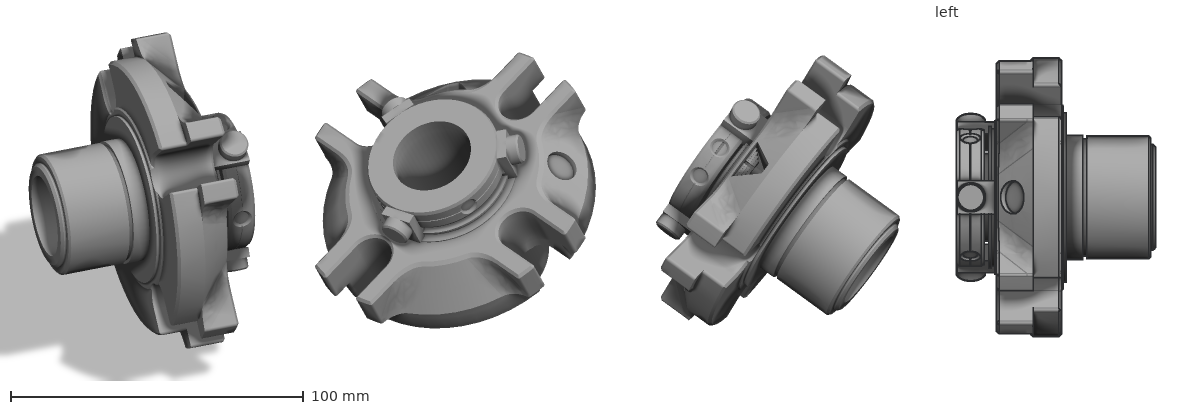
import cadquery as cq
import math


DISC_RADIUS = 47.6
DISC_BACK = 9.7
DISC_CHAMFER = 1.0
FACE_RING_RADIUS = 31.7
FACE_RING_FRONT = -0.6
FACE_RING_CHAMFER = 0.5
GASKET_RADIUS = 58.0 / 2
GASKET_FRONT = -1.6

HUB_BACK = 22.3
LUG_TIP_RADIUS = 53.8
LUG_HALF_WIDTH = 14.5
LUG_ROOT_FILLET = 7.1
HUB_BACK_CHAMFER = 1.0
HUB_OVERRUN = 5.7

SLOT_RADIUS = 7.4
SLOT_CENTRE = 37.5
SLOT_CHAMFER = 1.0
MOUTH_FILLET = 1.0
LUG_ANGLES = (45, 135, 225, 315)

BORE_RADIUS = 28.0 / 2
PILOT_RADIUS = 42.6 / 2
GROOVE_RADIUS = 40.2 / 2
SLEEVE_RADIUS = 42.0 / 2
NOSE_RADIUS = 36.2 / 2
NECK_RADIUS = 30.0 / 2
PILOT_FRONT = -7.2
GROOVE_FRONT = -8.7
SLEEVE_FRONT = -30.5
NOSE_FRONT = -32.2
SLEEVE_CHAMFER = 0.8
NOSE_CHAMFER = 1.0

BACK_PLATE_RADIUS = 26.3
BACK_PLATE_BACK = 22.8
GLAND_RADIUS = 47.0 / 2
GLAND_BACK = 24.1
LIP_RADIUS = 48.5 / 2
LIP_BACK = 25.0

COLLAR_RADIUS = 47.0 / 2
COLLAR_FRONT = 26.4
COLLAR_BACK = 36.0
COLLAR_CHAMFER_LENGTH = 1.1
COLLAR_CHAMFER_DEPTH = 0.6
COLLAR_MIDDLE = (COLLAR_FRONT + COLLAR_BACK) / 2
SEAM_WIDTH = 0.4
SEAM_DEPTH = 0.3

SET_SCREW_ANGLES = (0, 90, 120, 240)
SET_SCREW_RADIUS = 5.0 / 2
SET_SCREW_DEPTH = 1.0
SLOTTED_SCREW_ANGLE = 90
DRIVER_SLOT_WIDTH = 1.0
DRIVER_SLOT_DEPTH = 0.8

CLIP_ANGLES = (60, 180, 300)
CLIP_WIDTH = 11.4
CLIP_INNER = 23.1
CLIP_OUTER = 26.5
CLIP_BACK = 35.7
CLIP_TONGUE_INNER = 21.7
CAP_RADIUS = 10.0 / 2
CAP_TOP = 30.6
CAP_CHAMFER = 0.6
CAP_MIDDLE = COLLAR_BACK - CAP_RADIUS

PORT_RADIUS = 11.2 / 2
PORT_MIDDLE = 16.9
PORT_DEPTH = 2.5

VEE_BOTTOM = 11.7
VEE_BOTTOM_HALF_WIDTH = 2.1
VEE_TOP_HALF_WIDTH = 8.8
VEE_DRAFT = 3.0
VEE_CORNER_RADIUS = 1.0
VEE_FLOOR = 26.7
KEY_TOP = 30.5
KEY_STEPS = 4
KEY_STEP = 1.0
KEY_RISE = 0.5
KEY_FRONT_HALF_WIDTH = 3.2
KEY_FRONT = 16.9
KEY_GROOVE_WIDTH = 1.1
KEY_GROOVE_DEPTH = 0.8
KEY_PIN_RADIUS = 1.7


def axial(y):
    """Workplane at height y whose positive extrusion runs toward +Y (local x is -X)."""
    return cq.Workplane(cq.Plane(origin=(0, y, 0), xDir=(-1, 0, 0), normal=(0, 1, 0)))


def ring(radius, y_front, y_back):
    return axial(y_front).circle(radius).extrude(y_back - y_front)


def cuboid(x_range, y_range, z_range):
    sides = [high - low for low, high in (x_range, y_range, z_range)]
    corner = (x_range[0], y_range[0], z_range[0])
    return cq.Workplane("XY").box(*sides, centered=False).translate(corner)


def turned(body, angle):
    """Turn a body about the Y axis, from +X toward +Z."""
    return body.rotate((0, 0, 0), (0, 1, 0), -angle)


def slot_outline(y, radius):
    """Sketch of an open-ended slot along +X."""
    length = LUG_TIP_RADIUS
    middle = SLOT_CENTRE - radius + length / 2
    return axial(y).center(-middle, 0).slot2D(length, 2 * radius)


def with_bolt_slots(body):
    """Cut the four bolt slots right through a body."""
    slot = slot_outline(FACE_RING_FRONT, SLOT_RADIUS).extrude(HUB_BACK - FACE_RING_FRONT)
    for angle in LUG_ANGLES:
        body = body.cut(turned(slot, angle))
    return body


def with_round_mouths(body, outer_radius):
    """Round the corners where the bolt slots and lug sides meet the outer rim of a body."""

    def is_corner(edge):
        middle = edge.Center()
        return math.hypot(middle.x, middle.z) > outer_radius - MOUTH_FILLET

    corners = [edge for edge in body.edges("|Y").vals() if is_corner(edge)]
    return body.newObject(corners).fillet(MOUTH_FILLET)


def hub_with_lugs():
    """45 degree cone crossed by two bars with filleted roots, trimmed to length and to the tip circle."""
    front = DISC_BACK - HUB_OVERRUN
    back = HUB_BACK + HUB_OVERRUN
    front_radius = DISC_RADIUS + HUB_OVERRUN
    back_radius = front_radius - (back - front)
    cone_outline = [(0, front), (front_radius, front), (back_radius, back), (0, back)]
    cone = cq.Workplane("XY").polyline(cone_outline).close().revolve(360, (0, 0, 0), (0, 1, 0))

    half_bar = front_radius + LUG_ROOT_FILLET
    across = (-LUG_HALF_WIDTH, LUG_HALF_WIDTH)
    along = (-half_bar, half_bar)
    bars = cuboid(along, (front, back), across).union(cuboid(across, (front, back), along))
    body = cone.union(turned(bars, LUG_ANGLES[0]))

    def is_lug_root(edge):
        middle = edge.Center()
        slanted = edge.BoundingBox().ylen > 0.9 * (back - front)
        return slanted and back_radius < math.hypot(middle.x, middle.z) < front_radius

    roots = [edge for edge in body.edges().vals() if is_lug_root(edge)]
    body = body.newObject(roots).fillet(LUG_ROOT_FILLET)
    body = body.intersect(ring(LUG_TIP_RADIUS, DISC_BACK, HUB_BACK))
    body = with_round_mouths(with_bolt_slots(body), LUG_TIP_RADIUS)
    return body.faces(">Y").edges().chamfer(HUB_BACK_CHAMFER)


def disc():
    """Slotted disc with a chamfered rim and one bevelled side to each slot."""
    blank = ring(DISC_RADIUS, 0, DISC_BACK).faces("<Y").edges().chamfer(DISC_CHAMFER)
    body = with_round_mouths(with_bolt_slots(blank), DISC_RADIUS)
    bevel = slot_outline(0, SLOT_RADIUS + SLOT_CHAMFER).extrude(SLOT_CHAMFER, taper=45)
    bevel_side = cuboid((0, 2 * LUG_TIP_RADIUS), (0, SLOT_CHAMFER), (0, LUG_TIP_RADIUS))
    bevel = bevel.intersect(bevel_side)
    for angle in LUG_ANGLES:
        body = body.cut(turned(bevel, angle))
    return body


def flange():
    face_ring = ring(FACE_RING_RADIUS, FACE_RING_FRONT, DISC_BACK)
    face_ring = face_ring.faces("<Y").edges().chamfer(FACE_RING_CHAMFER)
    return disc().union(with_bolt_slots(face_ring)).union(hub_with_lugs())


def slanted_port():
    """Blind hole on the -X side, drilled square to the 45 degree cone."""
    mouth = (-(DISC_RADIUS - (PORT_MIDDLE - DISC_BACK)), PORT_MIDDLE, 0)
    plane = cq.Plane(origin=mouth, xDir=(0, 0, 1), normal=(-1, 1, 0))
    floor = cq.Workplane(plane).workplane(offset=-PORT_DEPTH)
    return floor.circle(PORT_RADIUS).extrude(2 * PORT_RADIUS)


def vee_pocket():
    """Vee-shaped window cut down from +Z through the cone."""
    outline = [
        (-VEE_BOTTOM_HALF_WIDTH, VEE_BOTTOM),
        (VEE_BOTTOM_HALF_WIDTH, VEE_BOTTOM),
        (VEE_TOP_HALF_WIDTH, HUB_BACK - HUB_BACK_CHAMFER),
        (-VEE_TOP_HALF_WIDTH, HUB_BACK - HUB_BACK_CHAMFER),
    ]
    vee = cq.Workplane("XY").workplane(offset=DISC_RADIUS).polyline(outline).close()
    vee = vee.extrude(VEE_FLOOR - DISC_RADIUS, taper=VEE_DRAFT)
    return vee.faces("<Y").edges("not(|X)").fillet(VEE_CORNER_RADIUS)


def stepped_key():
    """Stack of blocks that widen toward +Y, grooved along the middle, with a pin in front."""
    key = cq.Workplane("XY")
    for step in range(KEY_STEPS):
        half_width = KEY_FRONT_HALF_WIDTH + step * KEY_STEP
        front = KEY_FRONT + step * KEY_STEP
        top = KEY_TOP + step * KEY_RISE
        key = key.union(cuboid((-half_width, half_width), (front, HUB_BACK), (VEE_FLOOR, top)))
    half_groove = KEY_GROOVE_WIDTH / 2
    groove_bottom = KEY_TOP - KEY_GROOVE_DEPTH
    groove = cuboid((-half_groove, half_groove), (KEY_FRONT, HUB_BACK), (groove_bottom, LUG_TIP_RADIUS))
    pin = ring(KEY_PIN_RADIUS, VEE_BOTTOM, KEY_FRONT).translate((0, 0, VEE_FLOOR))
    return key.cut(groove).union(pin)


def sleeve_and_gland():
    """Turned stack on the shaft axis, from the sleeve nose back to the gland lip and neck."""
    outline = [
        (0, NOSE_FRONT),
        (NOSE_RADIUS - NOSE_CHAMFER, NOSE_FRONT),
        (NOSE_RADIUS, NOSE_FRONT + NOSE_CHAMFER),
        (NOSE_RADIUS, SLEEVE_FRONT),
        (SLEEVE_RADIUS - SLEEVE_CHAMFER, SLEEVE_FRONT),
        (SLEEVE_RADIUS, SLEEVE_FRONT + SLEEVE_CHAMFER),
        (SLEEVE_RADIUS, GROOVE_FRONT),
        (GROOVE_RADIUS, GROOVE_FRONT),
        (GROOVE_RADIUS, PILOT_FRONT),
        (PILOT_RADIUS, PILOT_FRONT),
        (PILOT_RADIUS, GASKET_FRONT),
        (GASKET_RADIUS, GASKET_FRONT),
        (GASKET_RADIUS, 0),
        (BACK_PLATE_RADIUS, 0),
        (BACK_PLATE_RADIUS, BACK_PLATE_BACK),
        (GLAND_RADIUS, BACK_PLATE_BACK),
        (GLAND_RADIUS, GLAND_BACK),
        (LIP_RADIUS, GLAND_BACK),
        (LIP_RADIUS, LIP_BACK),
        (NECK_RADIUS, LIP_BACK),
        (NECK_RADIUS, COLLAR_BACK),
        (0, COLLAR_BACK),
    ]
    return cq.Workplane("XY").polyline(outline).close().revolve(360, (0, 0, 0), (0, 1, 0))


def set_screw_recess():
    """Conical recess down to the end face of a set screw, along +X."""
    floor = COLLAR_RADIUS - SET_SCREW_DEPTH
    outline = [
        (floor, 0),
        (floor, SET_SCREW_RADIUS),
        (COLLAR_RADIUS + 1, SET_SCREW_RADIUS + SET_SCREW_DEPTH + 1),
        (COLLAR_RADIUS + 1, 0),
    ]
    cone = cq.Workplane("XY").polyline(outline).close().revolve(360, (0, 0, 0), (1, 0, 0))
    return cone.translate((0, COLLAR_MIDDLE, 0))


def collar():
    chamfer = COLLAR_RADIUS - COLLAR_CHAMFER_DEPTH
    seam_bottom = COLLAR_RADIUS - SEAM_DEPTH
    outline = [
        (0, COLLAR_FRONT),
        (chamfer, COLLAR_FRONT),
        (COLLAR_RADIUS, COLLAR_FRONT + COLLAR_CHAMFER_LENGTH),
        (COLLAR_RADIUS, COLLAR_MIDDLE - SEAM_WIDTH / 2),
        (seam_bottom, COLLAR_MIDDLE - SEAM_WIDTH / 2),
        (seam_bottom, COLLAR_MIDDLE + SEAM_WIDTH / 2),
        (COLLAR_RADIUS, COLLAR_MIDDLE + SEAM_WIDTH / 2),
        (COLLAR_RADIUS, COLLAR_BACK - COLLAR_CHAMFER_LENGTH),
        (chamfer, COLLAR_BACK),
        (0, COLLAR_BACK),
    ]
    body = cq.Workplane("XY").polyline(outline).close().revolve(360, (0, 0, 0), (0, 1, 0))
    for angle in SET_SCREW_ANGLES:
        body = body.cut(turned(set_screw_recess(), angle))

    floor = COLLAR_RADIUS - SET_SCREW_DEPTH
    half_slot = DRIVER_SLOT_WIDTH / 2
    driver_slot = cuboid(
        (floor - DRIVER_SLOT_DEPTH, floor),
        (COLLAR_MIDDLE - half_slot, COLLAR_MIDDLE + half_slot),
        (-SET_SCREW_RADIUS, SET_SCREW_RADIUS),
    )
    return body.cut(turned(driver_slot, SLOTTED_SCREW_ANGLE))


def clip():
    """Setting clip along +X: a block, a tongue in the gap under the collar, and a cap screw."""
    across = (-CLIP_WIDTH / 2, CLIP_WIDTH / 2)
    block = cuboid((CLIP_INNER, CLIP_OUTER), (BACK_PLATE_BACK, CLIP_BACK), across)
    tongue = cuboid((CLIP_TONGUE_INNER, CLIP_INNER), (LIP_BACK, COLLAR_FRONT), across)
    cap = (
        cq.Workplane("YZ", origin=(CLIP_OUTER, CAP_MIDDLE, 0))
        .circle(CAP_RADIUS)
        .extrude(CAP_TOP - CLIP_OUTER)
        .faces(">X")
        .edges()
        .chamfer(CAP_CHAMFER)
    )
    return block.union(tongue).union(cap)


result = flange().union(sleeve_and_gland())
result = result.cut(slanted_port()).cut(vee_pocket()).union(stepped_key())
result = result.union(collar())
for clip_angle in CLIP_ANGLES:
    result = result.union(turned(clip(), clip_angle))
result = result.cut(ring(BORE_RADIUS, NOSE_FRONT, COLLAR_BACK))